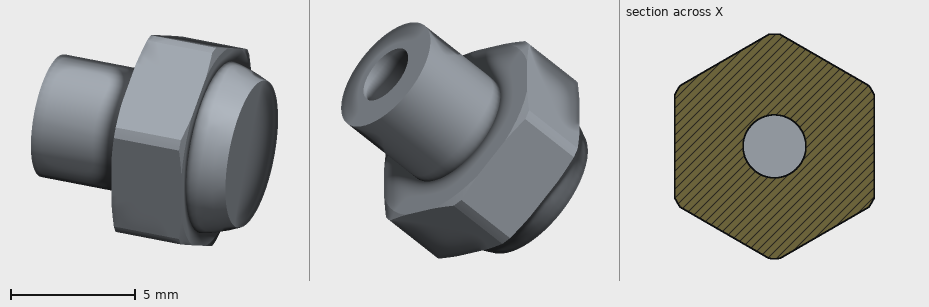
import cadquery as cq
import math

TUBE_LENGTH = 4.0
HEX_LENGTH = 3.0
DOME_LENGTH = 1.5
BORE_DEPTH = TUBE_LENGTH + HEX_LENGTH

TUBE_DIAMETER = 5.0
BORE_DIAMETER = 2.5
HEX_SIDES = 6
ACROSS_FLATS = 8.0
HALF_FLAT_ANGLE = 180.0 / HEX_SIDES
ACROSS_CORNERS = 9.0
CHAMFER_FACE_DIAMETER = 8.2
CHAMFER_ANGLE = 15.0
DOME_BASE_DIAMETER = 7.0
DOME_END_DIAMETER = 6.0
DOME_MID_DIAMETER = 6.6

TUBE_START = 0.0
HEX_START = TUBE_START + TUBE_LENGTH
HEX_END = HEX_START + HEX_LENGTH
DOME_END = HEX_END + DOME_LENGTH


def cylinder_along_x(start, length, diameter):
    """Cylinder on the X axis."""
    return cq.Workplane("YZ", origin=(start, 0, 0)).circle(diameter / 2).extrude(length)


def revolve_about_x(profile):
    """Close a half profile drawn in the XZ plane and turn it about the X axis."""
    return profile.close().revolve(360, (0, 0, 0), (1, 0, 0))


def make_hexagon():
    """Hexagon with corners at +Z and -Z, trimmed corners and chamfered ends."""
    sharp_corners = ACROSS_FLATS / math.cos(math.radians(HALF_FLAT_ANGLE))
    hexagon = (
        cq.Workplane("YZ", origin=(HEX_START, 0, 0))
        .transformed(rotate=(0, 0, 90))
        .polygon(HEX_SIDES, sharp_corners)
        .extrude(HEX_LENGTH)
    )
    face_radius = CHAMFER_FACE_DIAMETER / 2
    corner_radius = ACROSS_CORNERS / 2
    chamfer_length = (corner_radius - face_radius) * math.tan(math.radians(CHAMFER_ANGLE))
    envelope = revolve_about_x(
        cq.Workplane("XZ")
        .moveTo(HEX_START, 0)
        .lineTo(HEX_START, face_radius)
        .lineTo(HEX_START + chamfer_length, corner_radius)
        .lineTo(HEX_END - chamfer_length, corner_radius)
        .lineTo(HEX_END, face_radius)
        .lineTo(HEX_END, 0)
    )
    return hexagon.intersect(envelope)


def make_dome():
    """Rounded nose that narrows towards a flat end."""
    dome_middle = (HEX_END + DOME_LENGTH / 2, DOME_MID_DIAMETER / 2)
    return revolve_about_x(
        cq.Workplane("XZ")
        .moveTo(HEX_END, 0)
        .lineTo(HEX_END, DOME_BASE_DIAMETER / 2)
        .threePointArc(dome_middle, (DOME_END, DOME_END_DIAMETER / 2))
        .lineTo(DOME_END, 0)
    )


tube = cylinder_along_x(TUBE_START, TUBE_LENGTH, TUBE_DIAMETER)
bore = cylinder_along_x(TUBE_START, BORE_DEPTH, BORE_DIAMETER)

result = tube.union(make_hexagon()).union(make_dome()).cut(bore)